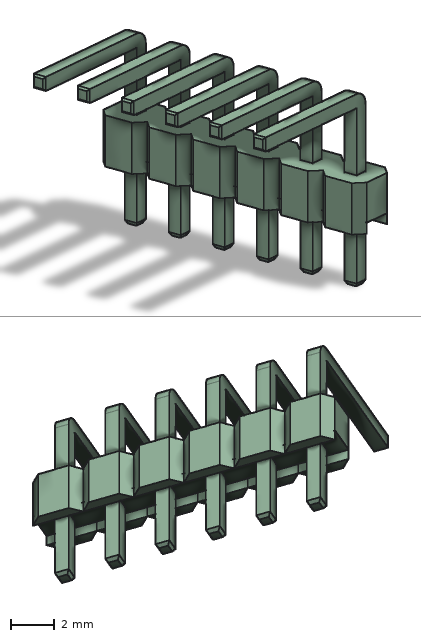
import cadquery as cq

PIN_COUNT = 6
ROW_LENGTH = 15.24
PITCH = ROW_LENGTH / PIN_COUNT

HOUSING_HEIGHT = PITCH
CORNER_CUT = 0.5
SLOT_WIDTH = PITCH - 2 * CORNER_CUT
SLOT_DEPTH = 0.55

PIN_WIDTH = 0.7
OVERALL_DEPTH = 8.63
OVERALL_HEIGHT = 9.55
TAIL_LENGTH = 3.0
PIN_BOTTOM = -TAIL_LENGTH
PIN_TOP = OVERALL_HEIGHT - TAIL_LENGTH
PIN_FRONT = PITCH / 2 - OVERALL_DEPTH
BEND_RADIUS = PIN_WIDTH
TAIL_TAPER_LENGTH = 0.2
TAIL_TAPER_INSET = 0.115
FRONT_CHAMFER = 0.1

PIN_POSITIONS = [(i - (PIN_COUNT - 1) / 2) * PITCH for i in range(PIN_COUNT)]


def make_housing():
    """Row of eight-sided cells with a slot along the underside and a square hole for each pin."""
    half_cell = PITCH / 2
    half_flat = half_cell - CORNER_CUT
    front_edge = []
    for x in PIN_POSITIONS:
        front_edge += [
            (x - half_cell, -half_flat),
            (x - half_flat, -half_cell),
            (x + half_flat, -half_cell),
        ]
    front_edge.append((ROW_LENGTH / 2, -half_flat))
    back_edge = [(x, -y) for x, y in reversed(front_edge)]
    block = cq.Workplane("XY").polyline(front_edge + back_edge).close().extrude(HOUSING_HEIGHT)

    slot = cq.Workplane("XY").box(ROW_LENGTH, SLOT_WIDTH, SLOT_DEPTH, centered=(True, True, False))
    holes = (
        cq.Workplane("XY")
        .pushPoints([(x, 0) for x in PIN_POSITIONS])
        .rect(PIN_WIDTH, PIN_WIDTH)
        .extrude(HOUSING_HEIGHT)
    )
    return block.cut(slot).cut(holes)


def make_pin(x):
    """Right-angle pin centred on the given X, with tapered ends."""
    half = PIN_WIDTH / 2
    pin = (
        cq.Workplane("YZ", origin=(x - half, 0, 0))
        .moveTo(half, PIN_BOTTOM)
        .lineTo(half, PIN_TOP - BEND_RADIUS)
        .radiusArc((half - BEND_RADIUS, PIN_TOP), -BEND_RADIUS)
        .lineTo(PIN_FRONT, PIN_TOP)
        .lineTo(PIN_FRONT, PIN_TOP - PIN_WIDTH)
        .lineTo(-half, PIN_TOP - PIN_WIDTH)
        .lineTo(-half, PIN_BOTTOM)
        .close()
        .extrude(PIN_WIDTH)
    )
    pin = pin.faces("<Y").chamfer(FRONT_CHAMFER)
    return pin.faces("<Z").chamfer(TAIL_TAPER_LENGTH, TAIL_TAPER_INSET)


housing = make_housing()
pins = [make_pin(x) for x in PIN_POSITIONS]

result = cq.Compound.makeCompound([housing.val(), *[pin.val() for pin in pins]])